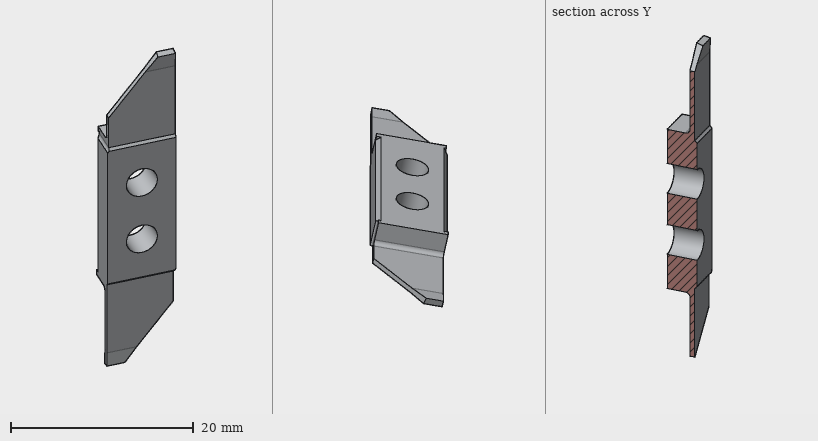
import cadquery as cq
import math

thickness = 3.6
width = 8.0
length = 40.0

half_thickness = thickness / 2
half_width = width / 2
half_length = length / 2

block_half_length = 9.8
bevel_width = 0.5
bevel_half_length = 9.2
hole_diameter = 3.6
hole_pitch = 7.5

blade_front_x = 0.9
blade_back_x = 1.525
root_fillet = 0.5
shoulder_z = 9.1
back_step_run = 0.3

flare_start_z = 18.15
flare = 0.1
tip_drop = 0.15

side_step = 0.22
side_step_run = 0.5
slant_start_z = 13.05
slant_angle = 50.0
slant_run = (half_length - slant_start_z) / math.tan(math.radians(slant_angle))

block_edge_z = shoulder_z - side_step_run
stepped_y = half_width - side_step
tip_y = slant_run - stepped_y

runout_radius = (side_step**2 + side_step_run**2) / (2 * side_step)


def thickness_section():
    """Block and both blades as one XZ section, extruded over the full width."""
    front_edge = [
        (-half_thickness, block_half_length),
        (blade_front_x, block_half_length),
        (blade_front_x, flare_start_z),
        (blade_front_x - flare, half_length),
    ]
    back_edge = [
        (blade_back_x + flare, half_length - tip_drop),
        (blade_back_x, flare_start_z),
        (blade_back_x, shoulder_z),
        (half_thickness, shoulder_z - back_step_run),
    ]
    upper = front_edge + back_edge
    lower = [(x, -z) for x, z in reversed(upper)]
    section = cq.Workplane("XZ").polyline(upper + lower).close()
    body = section.extrude(half_width, both=True)
    for end in (-1, 1):
        corner = cq.selectors.NearestToPointSelector((blade_front_x, 0, end * block_half_length))
        body = body.edges("|Y").edges(corner).fillet(root_fillet)
    return body


def side_outline():
    """YZ outline of the part, unchanged by a half turn about X."""
    outline = cq.Workplane("YZ").moveTo(-half_width, block_edge_z)
    for turn in (1, -1):
        outline = (
            outline.radiusArc((-turn * stepped_y, turn * shoulder_z), -runout_radius)
            .lineTo(-turn * stepped_y, turn * slant_start_z)
            .lineTo(turn * tip_y, turn * half_length)
            .lineTo(turn * half_width, turn * half_length)
            .lineTo(turn * half_width, -turn * block_edge_z)
        )
    return outline.close().extrude(half_thickness, both=True)


def edge_bevel(side):
    """Cutter for the 45 degree bevel on one long edge of the -X face."""
    corner_y = side * half_width
    triangle = [
        (-half_thickness, corner_y),
        (-half_thickness + bevel_width, corner_y),
        (-half_thickness, corner_y - side * bevel_width),
    ]
    return cq.Workplane("XY").polyline(triangle).close().extrude(bevel_half_length, both=True)


def screw_holes():
    """Two through holes along X on the centre line of the block."""
    centers = [(0, -hole_pitch / 2), (0, hole_pitch / 2)]
    circles = cq.Workplane("YZ").pushPoints(centers).circle(hole_diameter / 2)
    return circles.extrude(half_thickness, both=True)


result = thickness_section().intersect(side_outline())
for bevel_side in (-1, 1):
    result = result.cut(edge_bevel(bevel_side))
result = result.cut(screw_holes())